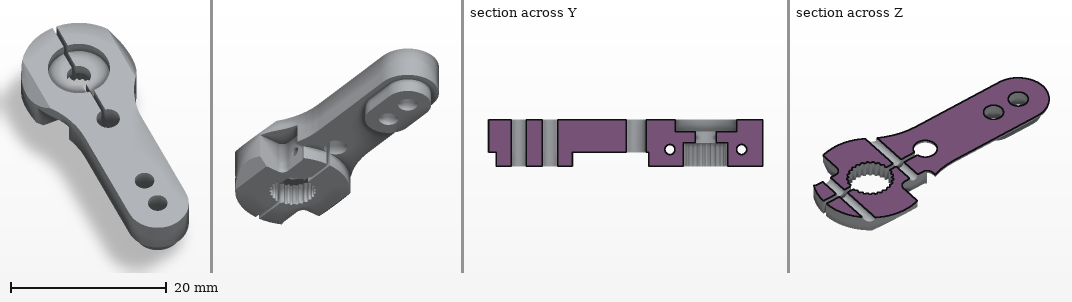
import cadquery as cq
import math


total_height = 6.0
arm_underside = 1.85

head_radius = 7.4
arm_half_width = 4.0
tip_x = 24.0
flank_start_x = 10.5

head_flat_half_width = 6.0
chamfer_height = 1.5

pad_radius = 3.0
rod_hole_xs = (20.0, tip_x)
rod_hole_diameter = 2.5

slit_width = 0.55
relief_x = 8.92
relief_diameter = 3.0

recess_diameter = 8.0
recess_depth = 1.52
screw_hole_diameter = 3.1
spline_depth = 3.0
spline_teeth = 25
spline_root_radius = 2.97
spline_tip_radius = 2.75

clamp_screw_x = 4.6
clamp_screw_z = 2.2
clamp_hole_diameter = 1.25
pocket_width = 4.7
pocket_height = 4.45
pocket_floor_y = 3.22
pocket_corner_radius = 0.92

arm_thickness = total_height - arm_underside


def cylinder(x, diameter, bottom, height):
    """Upright cylinder on the arm's centre line."""
    return cq.Workplane("XY", origin=(x, 0, bottom)).circle(diameter / 2).extrude(height)


def head():
    """Round head, bevelled along its two long sides at the top and underside."""
    disc = cylinder(0, 2 * head_radius, 0, total_height)
    y_out, y_flat = head_radius, head_flat_half_width
    z_low, z_high = chamfer_height, total_height - chamfer_height
    profile = [
        (-y_flat, 0), (y_flat, 0), (y_out, z_low), (y_out, z_high),
        (y_flat, total_height), (-y_flat, total_height), (-y_out, z_high), (-y_out, z_low),
    ]
    bevelled_bar = cq.Workplane("YZ").polyline(profile).close().extrude(head_radius, both=True)
    return disc.intersect(bevelled_bar)


def arm():
    """Straight arm with a round tip; concave flanks run tangentially into the head."""
    offset = flank_start_x**2 + arm_half_width**2 - head_radius**2
    flank_radius = offset / (2 * (head_radius - arm_half_width))
    flank_centre_y = arm_half_width + flank_radius
    head_angle = math.atan2(flank_centre_y, flank_start_x)
    touch_x = head_radius * math.cos(head_angle)
    touch_y = head_radius * math.sin(head_angle)
    middle_angle = (head_angle + math.pi + 1.5 * math.pi) / 2
    middle_x = flank_start_x + flank_radius * math.cos(middle_angle)
    middle_y = flank_centre_y + flank_radius * math.sin(middle_angle)
    return (
        cq.Workplane("XY", origin=(0, 0, arm_underside))
        .moveTo(0, -touch_y)
        .lineTo(touch_x, -touch_y)
        .threePointArc((middle_x, -middle_y), (flank_start_x, -arm_half_width))
        .lineTo(tip_x, -arm_half_width)
        .threePointArc((tip_x + arm_half_width, 0), (tip_x, arm_half_width))
        .lineTo(flank_start_x, arm_half_width)
        .threePointArc((middle_x, middle_y), (touch_x, touch_y))
        .lineTo(0, touch_y)
        .close()
        .extrude(arm_thickness)
    )


def pad():
    """Slot-shaped pad under the rod holes."""
    first_x, last_x = rod_hole_xs
    return (
        cq.Workplane("XY")
        .center((first_x + last_x) / 2, 0)
        .slot2D(last_x - first_x + 2 * pad_radius, 2 * pad_radius)
        .extrude(arm_underside)
    )


def spline_socket():
    """Toothed socket with flat tips and roots, open at the underside."""
    pitch = 2 * math.pi / spline_teeth
    points = []
    for tooth in range(spline_teeth):
        for quarter in range(4):
            radius = spline_root_radius if quarter < 2 else spline_tip_radius
            angle = (tooth + quarter / 4) * pitch
            points.append((radius * math.cos(angle), radius * math.sin(angle)))
    return cq.Workplane("XY").polyline(points).close().extrude(spline_depth)


def slit():
    """Clamping slit from the free end of the head to the relief hole."""
    length = head_radius + relief_x
    middle_x = (relief_x - head_radius) / 2
    return cq.Workplane("XY").center(middle_x, 0).rect(length, slit_width).extrude(total_height)


def clamp_screw_cut():
    """Screw hole across the head and the head pocket on its -Y side."""
    pocket_length = head_radius - pocket_floor_y
    pocket = (
        cq.Workplane("XY")
        .center(clamp_screw_x, -pocket_floor_y - pocket_length / 2)
        .rect(pocket_width, pocket_length)
        .extrude(pocket_height)
        .edges("|Z and >Y")
        .fillet(pocket_corner_radius)
    )
    hole = (
        cq.Workplane("XZ", origin=(clamp_screw_x, 0, clamp_screw_z))
        .circle(clamp_hole_diameter / 2)
        .extrude(head_radius, both=True)
    )
    return pocket.union(hole)


result = head().union(arm()).union(pad())

result = result.cut(cylinder(0, recess_diameter, total_height - recess_depth, recess_depth))
result = result.cut(cylinder(0, screw_hole_diameter, 0, total_height))
result = result.cut(spline_socket())

result = result.cut(slit())
result = result.cut(cylinder(relief_x, relief_diameter, 0, total_height))
for rod_hole_x in rod_hole_xs:
    result = result.cut(cylinder(rod_hole_x, rod_hole_diameter, 0, total_height))

for turn in (0, 180):
    result = result.cut(clamp_screw_cut().rotate((0, 0, 0), (0, 0, 1), turn))